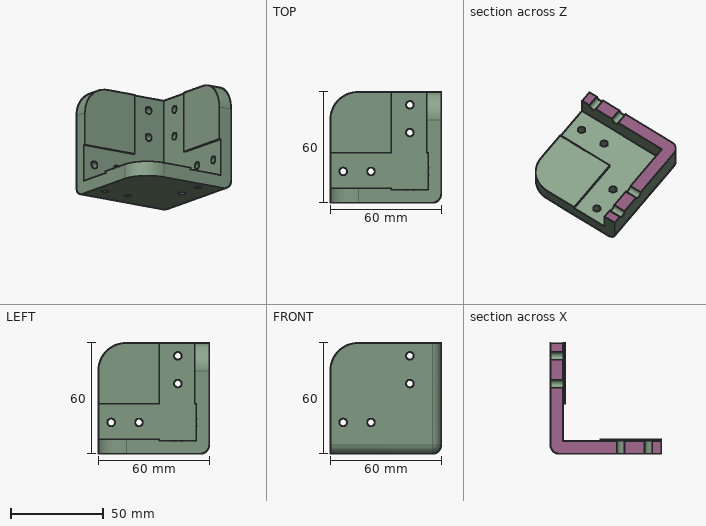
import cadquery as cq

SIZE = 60.0
PLATE = 8.0
GROOVE_DEPTH = 1.0
BAR = 20.0
CORNER_RADIUS = 15.0
EDGE_RADIUS = 5.0
HOLE_DIAMETER = 4.0
HOLE_END_DISTANCE = 7.0
HOLE_SPACING = 15.0

SEAT = PLATE - GROOVE_DEPTH
BAR_AXIS = SEAT + BAR / 2
HOLE_ENDS = (HOLE_END_DISTANCE, HOLE_END_DISTANCE + HOLE_SPACING)


def box(x_range, y_range, z_range):
    """Box spanning the given (low, high) ranges."""
    spans = (x_range, y_range, z_range)
    lengths = [high - low for low, high in spans]
    corner = tuple(low for low, high in spans)
    return cq.Workplane("XY").box(*lengths, centered=False).translate(corner)


def make_plates():
    """Three joined plates with rounded outer edges and rounded free corners."""
    full = (0, SIZE)
    block = box(full, full, full)
    block = block.edges("(>X and <Y) or (>X and <Z) or (<Y and <Z)").fillet(EDGE_RADIUS)
    plates = block.cut(box((0, SIZE - PLATE), (PLATE, SIZE), (PLATE, SIZE)))
    free_corners = "(|Y and <X and >Z) or (|Z and <X and >Y) or (|X and >Y and >Z)"
    return plates.edges(free_corners).fillet(CORNER_RADIUS)


def make_bars():
    """Three square bars that leave the inner corner along -X, +Y and +Z."""
    x_seat = (SIZE - SEAT - BAR, SIZE - SEAT)
    yz_seat = (SEAT, SEAT + BAR)
    bar_x = box((0, SIZE - SEAT), yz_seat, yz_seat)
    bar_y = box(x_seat, (SEAT, SIZE), yz_seat)
    bar_z = box(x_seat, yz_seat, (SEAT, SIZE))
    return bar_x.union(bar_y).union(bar_z)


def make_holes(x_direction, normal):
    """Screw holes of one plate, drilled inward along normal from its outer face.

    Local coordinates start at the outer corner and run along the plate's two bars.
    """
    outer_corner = (SIZE, 0, 0)
    plate_plane = cq.Plane(origin=outer_corner, xDir=x_direction, normal=normal)
    along_first_bar = [(SIZE - end, BAR_AXIS) for end in HOLE_ENDS]
    along_second_bar = [(BAR_AXIS, SIZE - end) for end in HOLE_ENDS]
    return (
        cq.Workplane(plate_plane)
        .pushPoints(along_first_bar + along_second_bar)
        .circle(HOLE_DIAMETER / 2)
        .extrude(PLATE)
    )


ALONG_X = (-1, 0, 0)
ALONG_Y = (0, 1, 0)
ALONG_Z = (0, 0, 1)

PLATE_DIRECTIONS = ((ALONG_Z, ALONG_X), (ALONG_X, ALONG_Y), (ALONG_Y, ALONG_Z))

result = make_plates().cut(make_bars())
for x_direction, normal in PLATE_DIRECTIONS:
    result = result.cut(make_holes(x_direction, normal))